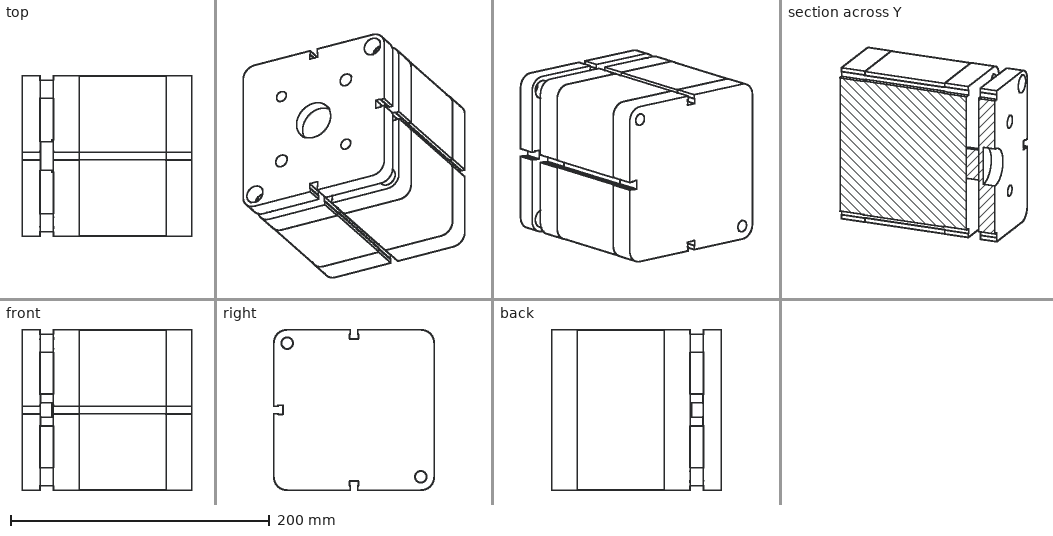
import cadquery as cq

length = 131.0
side = 124.0
corner_radius = 10.2

plate_thickness = 13.9
gap = 10.1
cap_thickness = 19.9
housing_start = plate_thickness + gap
barrel_start = housing_start + cap_thickness
barrel_end = length - cap_thickness

barrel_step = 0.2
barrel_side = side - 2 * barrel_step
barrel_corner_radius = corner_radius - barrel_step

cap_mouth_width = 6.0
barrel_mouth_width = 5.5
slot_cavity_width = 7.0
cap_slot_lip = 3.3
barrel_slot_lip = 3.5
cap_slot_depth = 7.2
barrel_slot_depth = 6.8

guide_offset = 51.6
guide_diameter = 14.1
mounting_hole_diameter = 8.8
access_hole_diameter = 14.0
pattern_offset = 28.3
small_hole_diameter = 8.5
large_hole_diameter = 10.0
recess_diameter = 30.0
recess_depth = 9.8

rod_diameter = 25.0
rod_chamfer = 0.5
flat_distance = 22.3
flat_length = 8.9

guide_corners = [(guide_offset, guide_offset), (-guide_offset, -guide_offset)]
mounting_corners = [(-guide_offset, guide_offset), (guide_offset, -guide_offset)]
small_hole_places = [(pattern_offset, pattern_offset), (-pattern_offset, -pattern_offset)]
large_hole_places = [(-pattern_offset, pattern_offset), (pattern_offset, -pattern_offset)]


def cylinders(places, diameter, start, end):
    """Cylinders along X, centred at the (y, z) places."""
    plane = cq.Workplane("YZ", origin=(start, 0, 0))
    return plane.pushPoints(places).circle(diameter / 2).extrude(end - start)


def slot(mouth_width, lip, depth, start, end):
    """T-slot cutter that opens at the top face."""
    plane = cq.Workplane("YZ", origin=(start, 0, side / 2))
    mouth = plane.center(0, -depth / 2).rect(mouth_width, depth).extrude(end - start)
    cavity = plane.center(0, -(lip + depth) / 2).rect(slot_cavity_width, depth - lip).extrude(end - start)
    return mouth.union(cavity)


def slotted_block(block_side, radius, slot_cutter, start, end):
    """Rounded square block with a T-slot in the top, -Y and bottom faces."""
    block = cq.Workplane("YZ", origin=(start, 0, 0)).rect(block_side, block_side).extrude(end - start)
    block = block.edges("|X").fillet(radius)
    for angle in (0, 90, 180):
        block = block.cut(slot_cutter.rotate((0, 0, 0), (1, 0, 0), angle))
    return block


def cap_block(start, end):
    """Block with the profile shared by the plate and the two caps."""
    cutter = slot(cap_mouth_width, cap_slot_lip, cap_slot_depth, start, end)
    return slotted_block(side, corner_radius, cutter, start, end)


def barrel_block(start, end):
    """Block with the slightly smaller barrel profile and its narrower slots."""
    cutter = slot(barrel_mouth_width, barrel_slot_lip, barrel_slot_depth, start, end)
    return slotted_block(barrel_side, barrel_corner_radius, cutter, start, end)


def make_plate():
    plate = cap_block(0, plate_thickness)
    plate = plate.cut(cylinders([(0, 0)], recess_diameter, 0, recess_depth))
    plate = plate.cut(cylinders(mounting_corners, access_hole_diameter, 0, plate_thickness))
    plate = plate.cut(cylinders(small_hole_places, small_hole_diameter, 0, plate_thickness))
    return plate.cut(cylinders(large_hole_places, large_hole_diameter, 0, plate_thickness))


def make_housing():
    housing = cap_block(housing_start, barrel_start)
    housing = housing.union(barrel_block(barrel_start, barrel_end))
    housing = housing.union(cap_block(barrel_end, length))
    return housing.cut(cylinders(mounting_corners, mounting_hole_diameter, housing_start, length))


def make_piston_rod():
    rod = cylinders([(0, 0)], rod_diameter, plate_thickness, housing_start)
    rod = rod.faces("<X").chamfer(rod_chamfer)
    cut_width = rod_diameter - flat_distance
    cut_offset = (flat_distance + cut_width) / 2
    flats = cq.Workplane("YZ", origin=(plate_thickness, 0, 0))
    flats = flats.pushPoints([(-cut_offset, 0), (cut_offset, 0)])
    return rod.cut(flats.rect(cut_width, rod_diameter).extrude(flat_length))


def make_guide_rod(place):
    return cylinders([place], guide_diameter, plate_thickness, housing_start)


plate = make_plate()
housing = make_housing()
piston_rod = make_piston_rod()
guide_rods = [make_guide_rod(place) for place in guide_corners]

result = cq.Compound.makeCompound(
    [plate.val(), housing.val(), piston_rod.val(), *[rod.val() for rod in guide_rods]]
)